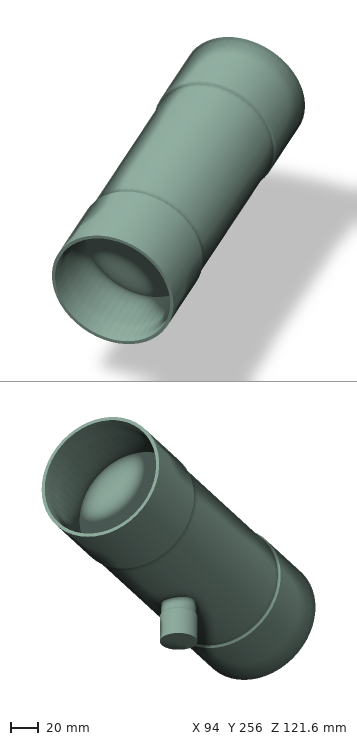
import cadquery as cq

total_length = 256.0
pipe_diameter = 91.0

socket_diameter = 94.0
socket_bore_diameter = 89.0
socket_length = 57.0
socket_bore_depth = 57.0
socket_taper_length = (socket_diameter - pipe_diameter) / 2

stub_diameter = 24.5
neck_diameter = 25.0
sleeve_diameter = 27.0
sleeve_length = 20.0
sleeve_taper_length = (sleeve_diameter - neck_diameter) / 2
neck_top_height = 27.0
total_height = 121.6
branch_end_z = socket_diameter / 2 - total_height


def make_run():
    """Pipe and both sockets, revolved about Y from one half profile."""
    half_length = total_length / 2
    pipe_radius = pipe_diameter / 2
    socket_radius = socket_diameter / 2
    socket_inner_y = half_length - socket_length
    pipe_end_y = socket_inner_y - socket_taper_length
    return (
        cq.Workplane("XY")
        .moveTo(0, -half_length)
        .lineTo(socket_radius, -half_length)
        .lineTo(socket_radius, -socket_inner_y)
        .lineTo(pipe_radius, -pipe_end_y)
        .lineTo(pipe_radius, pipe_end_y)
        .lineTo(socket_radius, socket_inner_y)
        .lineTo(socket_radius, half_length)
        .lineTo(0, half_length)
        .close()
        .revolve(360, (0, 0, 0), (0, 1, 0))
    )


def make_socket_bores():
    """Blind bores in the two sockets; the pipe stays closed between them."""
    bore = cq.Workplane("XZ", origin=(0, total_length / 2, 0))
    bore = bore.circle(socket_bore_diameter / 2).extrude(socket_bore_depth)
    return bore.union(bore.mirror("XZ"))


def make_branch():
    """Sleeve, neck and stub, revolved about Z and reaching up to the pipe axis."""
    stub_radius = stub_diameter / 2
    neck_radius = neck_diameter / 2
    sleeve_radius = sleeve_diameter / 2
    sleeve_top_z = branch_end_z + sleeve_length
    neck_top_z = branch_end_z + neck_top_height
    return (
        cq.Workplane("XZ")
        .moveTo(0, branch_end_z)
        .lineTo(sleeve_radius, branch_end_z)
        .lineTo(sleeve_radius, sleeve_top_z)
        .lineTo(neck_radius, sleeve_top_z + sleeve_taper_length)
        .lineTo(neck_radius, neck_top_z)
        .lineTo(stub_radius, neck_top_z)
        .lineTo(stub_radius, 0)
        .lineTo(0, 0)
        .close()
        .revolve(360, (0, 0, 0), (0, 1, 0))
    )


result = make_run().cut(make_socket_bores()).union(make_branch())